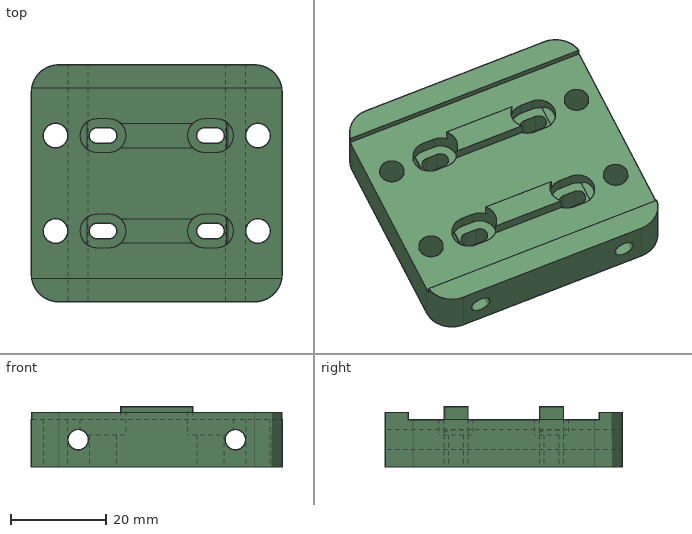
import cadquery as cq

length = 52.65
width = 49.75
overall_height = 12.7
rail_height = 11.5
deck_height = 9.95
deck_width = 40.0
corner_radius = 5.85

row_offset = 10.0
bolt_offset = 21.2
bolt_diameter = 5.1
cross_hole_offset = 16.5
cross_hole_diameter = 4.2

slot_offset = 11.25
slot_length = 5.75
slot_width = 3.2
pocket_length = 9.6
pocket_width = 7.05
pocket_depth = 3.25
key_width = 5.1

rows = (-row_offset, row_offset)


def mirrored_points(offset):
    """Points at plus and minus offset in X on both rows."""
    return [(x, y) for y in rows for x in (-offset, offset)]


def make_block():
    """Rounded block with a rail left standing along each long edge."""
    block = (
        cq.Workplane("XY")
        .box(length, width, rail_height, centered=(True, True, False))
        .edges("|Z")
        .fillet(corner_radius)
    )
    channel = (
        cq.Workplane("XY", origin=(0, 0, deck_height))
        .rect(length, deck_width)
        .extrude(rail_height - deck_height)
    )
    return block.cut(channel)


def make_keys():
    """Raised keys; the counterbores cut their ends to concave arcs."""
    return (
        cq.Workplane("XY")
        .pushPoints([(0, y) for y in rows])
        .rect(2 * slot_offset, key_width)
        .extrude(overall_height)
    )


def make_slots(slot_size, slot_breadth, floor):
    """Upright slot cutters from the given floor to above the keys."""
    return (
        cq.Workplane("XY", origin=(0, 0, floor))
        .pushPoints(mirrored_points(slot_offset))
        .slot2D(slot_size, slot_breadth)
        .extrude(overall_height - floor)
    )


def make_bolt_holes():
    """Vertical through holes near the ends of each row."""
    return (
        cq.Workplane("XY")
        .pushPoints(mirrored_points(bolt_offset))
        .circle(bolt_diameter / 2)
        .extrude(rail_height)
    )


def make_cross_holes():
    """Through holes along Y that break into the counterbore ends."""
    return (
        cq.Workplane("XZ", origin=(0, 0, rail_height / 2))
        .pushPoints([(-cross_hole_offset, 0), (cross_hole_offset, 0)])
        .circle(cross_hole_diameter / 2)
        .extrude(width / 2, both=True)
    )


result = (
    make_block()
    .union(make_keys())
    .cut(make_slots(pocket_length, pocket_width, deck_height - pocket_depth))
    .cut(make_slots(slot_length, slot_width, 0))
    .cut(make_bolt_holes())
    .cut(make_cross_holes())
)